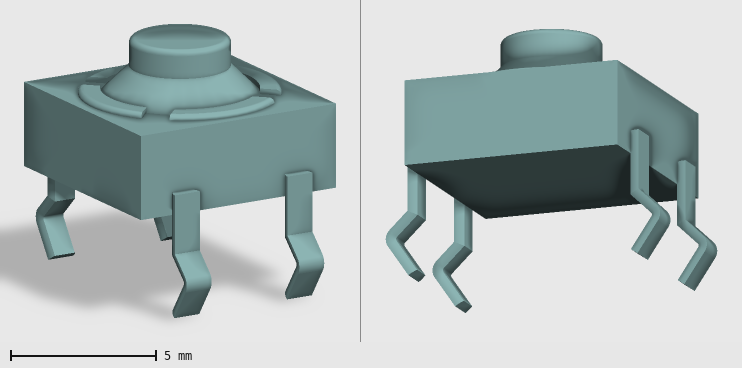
import cadquery as cq
import math


housing_side = 7.8
housing_height = 3.0

button_radius = 3.5 / 2
button_top = 5.0
skirt_height = 1.0
skirt_radius = button_radius + skirt_height
button_edge_radius = 0.2

ring_radius = 3.5
ring_height = 0.2
ring_gap = 1.0
gap_angles = (45, 135)

overall_length = 10.07
leg_width = 1.0
leg_thickness = 0.34
leg_side_taper = 0.1
leg_pitch = 4.5
leg_top = 0.8
leg_knee = -1.31
leg_bottom = -3.6
upper_slope = math.radians(46.5)
lower_slope = math.radians(34.5)
inner_bend_radius = 0.1
outer_bend_radius = inner_bend_radius + leg_thickness


def make_button():
    """Skirt and round button as one revolved shape standing on the housing."""
    button_base = housing_height + skirt_height
    return (
        cq.Workplane("XZ")
        .moveTo(0, housing_height)
        .lineTo(skirt_radius, housing_height)
        .lineTo(button_radius, button_base)
        .lineTo(button_radius, button_top)
        .lineTo(0, button_top)
        .close()
        .revolve(360, (0, 0), (0, 1))
        .faces(">Z")
        .edges()
        .fillet(button_edge_radius)
    )


def make_ring():
    """Ring with a quarter-round outer edge, cut by two crossing diagonal slots."""
    flat_radius = ring_radius - ring_height
    arc_reach = ring_height * math.sqrt(0.5)
    ring_top = housing_height + ring_height
    ring = (
        cq.Workplane("XZ")
        .moveTo(skirt_radius, housing_height)
        .lineTo(ring_radius, housing_height)
        .threePointArc(
            (flat_radius + arc_reach, housing_height + arc_reach), (flat_radius, ring_top)
        )
        .lineTo(skirt_radius, ring_top)
        .close()
        .revolve(360, (0, 0), (0, 1))
    )
    slot = (
        cq.Workplane("XY", origin=(0, 0, housing_height))
        .rect(housing_side, ring_gap)
        .extrude(ring_height)
    )
    for angle in gap_angles:
        ring = ring.cut(slot.rotate((0, 0, 0), (0, 0, 1), angle))
    return ring


def make_housing():
    block = cq.Workplane("XY").box(
        housing_side, housing_side, housing_height, centered=(True, True, False)
    )
    return block.union(make_button()).union(make_ring())


def make_leg_path():
    """Line of the outer face of a leg on the -X side, from its top to its tip."""
    outer_face = -housing_side / 2 - leg_thickness
    bend_x = -overall_length / 2 + outer_bend_radius
    bend_start_x = bend_x - outer_bend_radius * math.cos(upper_slope)
    bend_start_z = leg_knee - (outer_face - bend_start_x) / math.tan(upper_slope)
    bend_z = bend_start_z - outer_bend_radius * math.sin(upper_slope)
    bend_end_x = bend_x - outer_bend_radius * math.cos(lower_slope)
    bend_end_z = bend_z - outer_bend_radius * math.sin(lower_slope)
    tip_x = bend_end_x + (bend_end_z - leg_bottom) * math.tan(lower_slope)
    return (
        cq.Workplane("XZ")
        .moveTo(outer_face, leg_top)
        .lineTo(outer_face, leg_knee)
        .lineTo(bend_start_x, bend_start_z)
        .threePointArc((bend_x - outer_bend_radius, bend_z), (bend_end_x, bend_end_z))
        .lineTo(tip_x, leg_bottom)
    )


def make_leg():
    """Leg on the -X side at Y = 0, with sides that round in toward its inner face."""
    inner_face = -housing_side / 2
    outer_face = inner_face - leg_thickness
    outer_half = leg_width / 2
    inner_half = outer_half - leg_side_taper
    side_radius = (leg_thickness**2 + leg_side_taper**2) / (2 * leg_side_taper)
    half_sweep = math.asin(leg_thickness / side_radius) / 2
    middle_x = outer_face + side_radius * math.sin(half_sweep)
    middle_half = outer_half - side_radius * (1 - math.cos(half_sweep))
    section = (
        cq.Workplane("XY", origin=(0, 0, leg_top))
        .moveTo(outer_face, -outer_half)
        .threePointArc((middle_x, -middle_half), (inner_face, -inner_half))
        .lineTo(inner_face, inner_half)
        .threePointArc((middle_x, middle_half), (outer_face, outer_half))
        .close()
    )
    return section.sweep(make_leg_path(), transition="right")


def make_legs():
    leg = make_leg()
    legs = []
    for y in (-leg_pitch / 2, leg_pitch / 2):
        left_leg = leg.translate((0, y, 0))
        legs.append(left_leg.val())
        legs.append(left_leg.rotate((0, 0, 0), (0, 0, 1), 180).val())
    return legs


housing = make_housing()
legs = make_legs()

result = cq.Compound.makeCompound([housing.solids().val(), *legs])